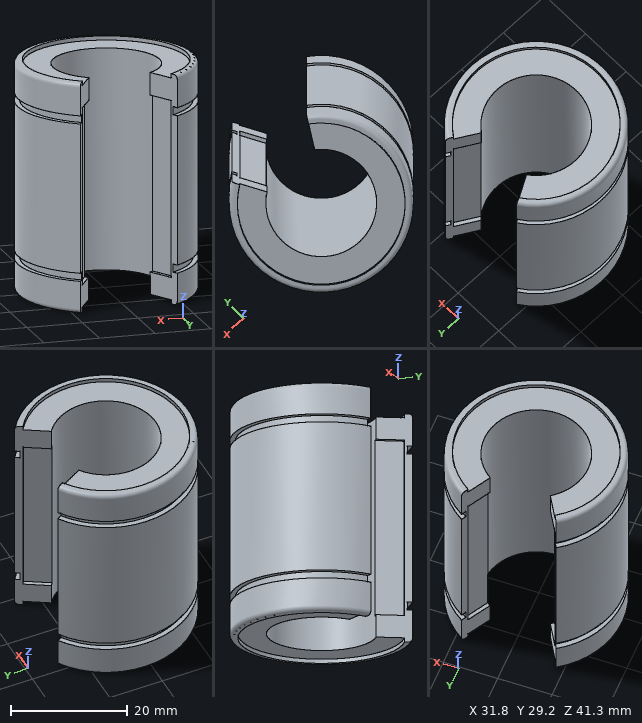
import cadquery as cq
import math

length = 41.25
outer_radius = 15.9
sleeve_inner_radius = 14.45
edge_radius = 0.8

groove_width = 1.45
groove_radius = 14.95
groove_outer_span = 29.65

bore_radius = 9.55
cap_recess = 0.75
cap_thickness = 4.05

opening_angle = 60.0
opening_offset = 0.9
retainer_offset = 1.65
cutter_reach = 2 * outer_radius


def tube(outer, inner, height):
    """Tube centred on the origin, along Z."""
    return (
        cq.Workplane("XY")
        .circle(outer)
        .circle(inner)
        .extrude(height / 2, both=True)
    )


def opening_wedge(wall_offset):
    """Wedge opening toward +Y, with walls at the given distance from the axis."""
    half_angle = math.radians(opening_angle / 2)
    apex_y = -wall_offset / math.sin(half_angle)
    half_width = (cutter_reach - apex_y) * math.tan(half_angle)
    return (
        cq.Workplane("XY")
        .moveTo(0, apex_y)
        .lineTo(half_width, cutter_reach)
        .lineTo(-half_width, cutter_reach)
        .close()
        .extrude(length, both=True)
    )


def make_sleeve():
    """Outer sleeve with rounded outer rims and two ring grooves."""
    body = cq.Workplane("XY").circle(outer_radius).extrude(length / 2, both=True)
    body = body.edges("%CIRCLE").fillet(edge_radius)
    body = body.cut(cq.Workplane("XY").circle(sleeve_inner_radius).extrude(length, both=True))
    groove = tube(cutter_reach, groove_radius, groove_width)
    groove_z = (groove_outer_span - groove_width) / 2
    for side in (-1, 1):
        body = body.cut(groove.translate((0, 0, side * groove_z)))
    return body.cut(opening_wedge(opening_offset))


def make_core():
    """End caps and ball retainer, with the wider opening between the caps."""
    core_length = length - 2 * cap_recess
    retainer_length = core_length - 2 * cap_thickness
    core = tube(sleeve_inner_radius, bore_radius, core_length)
    core = core.cut(opening_wedge(opening_offset))
    retainer_zone = cq.Workplane("XY").box(2 * cutter_reach, 2 * cutter_reach, retainer_length)
    return core.cut(opening_wedge(retainer_offset).intersect(retainer_zone))


result = make_sleeve().union(make_core())